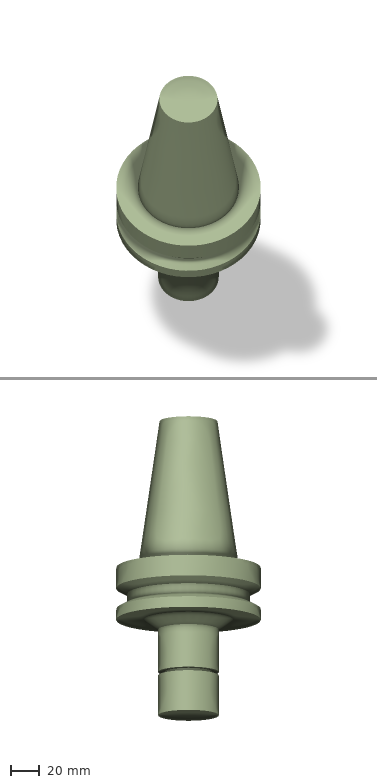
import cadquery as cq

total_height = 206.8

nut_diameter = 42.0
nut_height = 28.0

nose_diameter = 33.5
nose_length = 2.5
shank_diameter = nut_diameter
shank_length = 30.0
collar_diameter = 62.0
collar_height = 6.8

flange_diameter = 100.0
groove_diameter = 85.0
lower_rim_height = 7.5
groove_floor_height = 6.5
groove_flank_height = 4.1
upper_rim_height = 14.5

taper_diameter = 70.0
taper_land_height = 1.2
taper_ratio = 7 / 24

shank_bottom = nut_height + nose_length
shank_top = shank_bottom + shank_length
flange_bottom = shank_top + collar_height
lower_rim_top = flange_bottom + lower_rim_height
groove_floor_bottom = lower_rim_top + groove_flank_height
groove_floor_top = groove_floor_bottom + groove_floor_height
upper_rim_bottom = groove_floor_top + groove_flank_height
flange_top = upper_rim_bottom + upper_rim_height
taper_bottom = flange_top + taper_land_height
taper_tip_diameter = taper_diameter - taper_ratio * (total_height - taper_bottom)


def cylinder(diameter, bottom, top):
    """Solid cylinder on the Z axis between two heights."""
    return cq.Workplane("XY").workplane(offset=bottom).circle(diameter / 2).extrude(top - bottom)


def cone(bottom_diameter, top_diameter, bottom, top):
    """Solid truncated cone on the Z axis between two heights."""
    return cq.Workplane(
        cq.Solid.makeCone(bottom_diameter / 2, top_diameter / 2, top - bottom, pnt=cq.Vector(0, 0, bottom))
    )


def make_flange():
    """Disc with a trapezoidal groove around its rim."""
    groove = (
        cq.Workplane("XZ")
        .moveTo(flange_diameter / 2, lower_rim_top)
        .lineTo(groove_diameter / 2, groove_floor_bottom)
        .lineTo(groove_diameter / 2, groove_floor_top)
        .lineTo(flange_diameter / 2, upper_rim_bottom)
        .close()
        .revolve(360, (0, 0, 0), (0, 1, 0))
    )
    return cylinder(flange_diameter, flange_bottom, flange_top).cut(groove)


def make_holder():
    """Nose, shank, conical collar, flange and steep taper in one solid."""
    nose = cylinder(nose_diameter, nut_height, shank_bottom)
    shank = cylinder(shank_diameter, shank_bottom, shank_top)
    collar = cone(shank_diameter, collar_diameter, shank_top, flange_bottom)
    land = cylinder(taper_diameter, flange_top, taper_bottom)
    taper = cone(taper_diameter, taper_tip_diameter, taper_bottom, total_height)
    return nose.union(shank).union(collar).union(make_flange()).union(land).union(taper).solids()


def make_nut():
    """Plain cylindrical nut seated against the end of the nose."""
    return cylinder(nut_diameter, 0, nut_height)


holder = make_holder()
nut = make_nut()

result = cq.Compound.makeCompound([holder.val(), nut.val()])